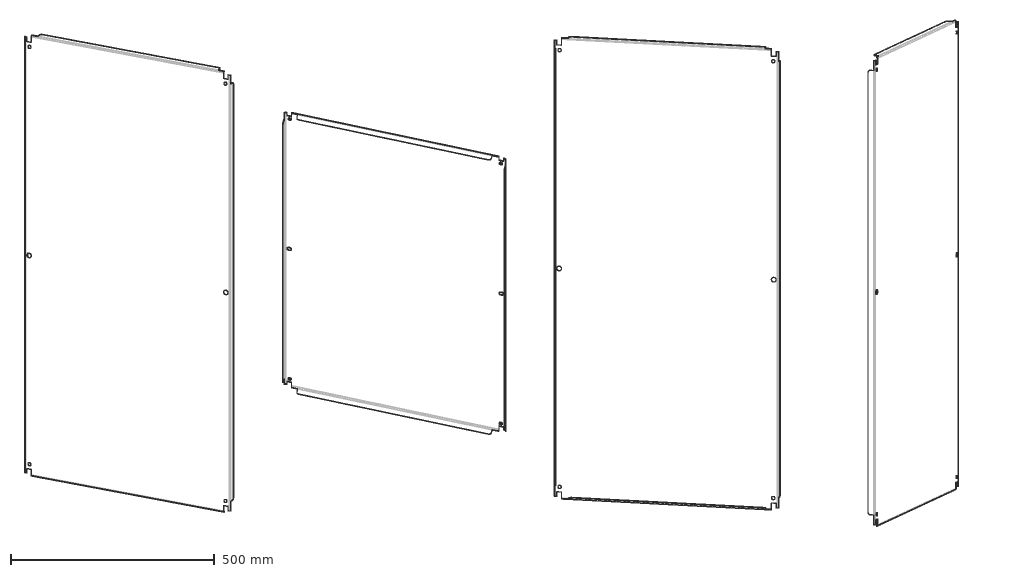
import cadquery as cq

width = 563.0
depth = 19.0
height = 1173.0
thickness = 2.0
bend_radius = 4.1

side_fold_height = 1159.0
notch_margin = 7.0
notch_inset = 19.0

side_flange_height = 1109.0
end_flange_width = 493.0
flange_corner_radius = 6.0

corner_hole_diameter = 8.0
corner_hole_x = width / 2 - 14.0
corner_hole_z = height / 2 - 32.0
middle_hole_diameter = 12.0
middle_hole_x = width / 2 - 13.0

front_y = -depth / 2
back_y = depth / 2
fold_end_y = front_y + bend_radius


def box(x_size, z_size, y_start, y_end):
    """Block centred on X and Z between two Y levels."""
    block = cq.Workplane("XY").box(x_size, y_end - y_start, z_size)
    return block.translate((0, (y_start + y_end) / 2, 0))


def folded_tray():
    """Open tray: the front face with four folded walls."""
    outer = box(width, height, front_y, back_y)
    outer = outer.edges("<Y").fillet(bend_radius)
    inner = box(width - 2 * thickness, height - 2 * thickness, front_y + thickness, back_y)
    inner = inner.edges("<Y").fillet(bend_radius - thickness)
    return outer.cut(inner)


def kept_region():
    """Face and folds, short of the corners at the sides, with the shorter flanges behind them."""
    side_folds = box(width, side_fold_height, front_y, fold_end_y)
    end_folds = box(width - 2 * notch_inset, height, front_y, fold_end_y)
    side_flanges = box(width, side_flange_height, front_y, back_y)
    side_flanges = side_flanges.edges(">Y and |X").fillet(flange_corner_radius)
    end_flanges = box(end_flange_width, height, front_y, back_y)
    end_flanges = end_flanges.edges(">Y and |Z").fillet(flange_corner_radius)
    return side_folds.union(end_folds).union(side_flanges).union(end_flanges)


def mirrored(x, z):
    """The four points at plus and minus the given X and Z."""
    return [(x_sign * x, z_sign * z) for x_sign in (-1, 1) for z_sign in (-1, 1)]


def round_cutters(points, diameter):
    """Cylinders along Y, deep enough to pass through the face and folds."""
    plane = cq.Workplane("XZ", origin=(0, fold_end_y, 0))
    return plane.pushPoints(points).circle(diameter / 2).extrude(bend_radius)


def corner_notches():
    """Rectangular notches that open at the upper and lower edges of the panel."""
    notch_width = notch_inset - notch_margin
    notch_x = width / 2 - (notch_inset + notch_margin) / 2
    notch_z = height / 2 - notch_inset / 2
    plane = cq.Workplane("XZ", origin=(0, fold_end_y, 0))
    notches = plane.pushPoints(mirrored(notch_x, notch_z))
    return notches.rect(notch_width, notch_inset).extrude(bend_radius)


corner_holes = round_cutters(mirrored(corner_hole_x, corner_hole_z), corner_hole_diameter)
middle_holes = round_cutters([(-middle_hole_x, 0), (middle_hole_x, 0)], middle_hole_diameter)

panel = folded_tray().intersect(kept_region())
result = panel.cut(corner_notches()).cut(corner_holes).cut(middle_holes)